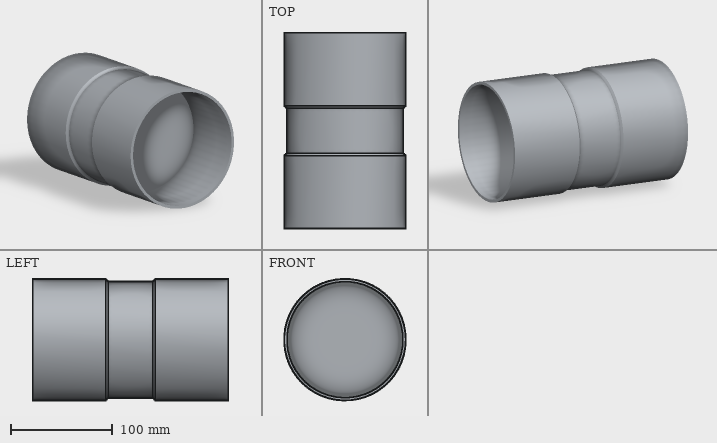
import cadquery as cq

length = 193.0
socket_diameter = 120.0
waist_diameter = 115.0
bore_diameter = 114.3

waist_length = 44.3
shoulder_length = 2.35
socket_depth = 71.0

half_length = length / 2
half_waist = waist_length / 2
shoulder_end = half_waist + shoulder_length
floor_position = half_length - socket_depth


def make_body():
    """Two wide ends joined by a narrower waist with conical shoulders."""
    socket_radius = socket_diameter / 2
    waist_radius = waist_diameter / 2
    return (
        cq.Workplane("XY")
        .moveTo(0, -half_length)
        .lineTo(socket_radius, -half_length)
        .lineTo(socket_radius, -shoulder_end)
        .lineTo(waist_radius, -half_waist)
        .lineTo(waist_radius, half_waist)
        .lineTo(socket_radius, shoulder_end)
        .lineTo(socket_radius, half_length)
        .lineTo(0, half_length)
        .close()
        .revolve(360, (0, 0, 0), (0, 1, 0))
    )


def make_socket(direction):
    """Blind bore running from its floor to the end face on the given side of Y."""
    return (
        cq.Workplane("XZ", origin=(0, direction * floor_position, 0))
        .circle(bore_diameter / 2)
        .extrude(-direction * socket_depth)
    )


result = make_body()
for side in (-1, 1):
    result = result.cut(make_socket(side))